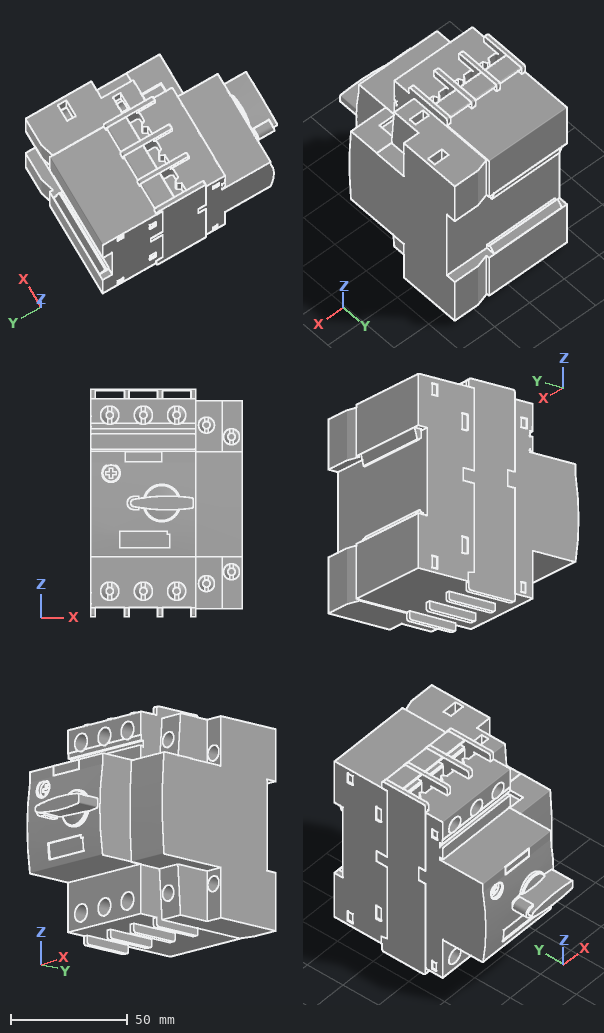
import cadquery as cq


HEIGHT = 97.4
DEPTH = 96.9
WIDTH = 65.0
EPS = 0.1

MAIN_WIDTH = 45.0
MAIN_BACK_Y = 96.6
SIDE_STEP = 0.1
BODY_TOP = 93.3
BODY_BOTTOM = 3.9
TERMINAL_FACE_Y = 35.8
COVER_TOP = 70.8
COVER_BOTTOM = 25.8
COVER_FLAT_Y = 13.2
COVER_CREST_Y = 11.6
COVER_FLAT_BOTTOM = 66.0
EDGE_ROUND = 0.5

GROOVE_DEPTH = 1.6
GROOVE_TOP = 80.55
LIP_TOP = 82.9
LIP_STEP = 0.2
STRIP_TOP = 78.4
STRIP_BOTTOM = 71.6
STRIP_CORNER = 0.7

RAIL_FLOOR_Y = 91.8
RAIL_TOP = 69.4
RAIL_BOTTOM = 29.1
HOOK_LEFT = 2.9
HOOK_WIDTH = 39.0

BARRIER_SPANS = [(0.0, 2.0), (14.4, 16.5), (28.5, 30.9), (43.0, MAIN_WIDTH)]
FRAME_BACK_Y = 69.8
FRAME_FRONT_Y = 45.4
FRAME_ROUND = 1.2
BRIDGE_FRONT_Y = 59.9
BRIDGE_THICKNESS = 0.8
BRIDGE_DROP = 0.1

POCKET_FRONT_Y = 53.6
POCKET_DEPTH = 11.7
POCKET_CORNER = 1.2
TONGUE_HALF_WIDTH = 1.6
TONGUE_LENGTH = 1.9
TONGUE_SLANT = 1.1
BACK_STEP_DROP = 1.1
BACK_STEP_DEPTH = 0.3

POLE_X = [8.2, 22.6, 36.8]
POLE_UPPER_Z = 86.3
POLE_LOWER_Z = 11.0
POLE_RADIUS = 3.9
POLE_FLOOR_Y = 49.5
AUX_RADIUS = 3.4
CONE_HEIGHT = 1.2
SCREW_CORE_RADIUS = 1.6
SCREW_SLOT_WIDTH = 1.7

SIDE_RECESS_DEPTH = 0.7
SIDE_RECESS_ROUND = 0.8

DIAL_X, DIAL_Z = 8.8, 61.5
DIAL_RADIUS = 3.5
DIAL_RIM = 0.4
DIAL_RIM_Y = 13.1
DIAL_FLOOR_Y = 14.6
CROSS_LENGTH = 4.4
CROSS_WIDTH = 1.4
CROSS_DEPTH = 0.8
LABEL_DEPTH = 0.7
PLATE_LEFT, PLATE_RIGHT = 14.8, 30.5
PLATE_BOTTOM = 66.3
PLATE_HEIGHT = 4.3
PLATE_DEPTH = 0.3

KNOB_X, KNOB_Z = 30.5, 48.7
KNOB_RADIUS = 8.0
KNOB_FACE_Y = 10.3
KNOB_CHAMFER = 0.5
DOME_RADIUS = 7.4
DOME_TOP_Y = 9.35
GRIP_LEFT, GRIP_RIGHT = 17.1, 43.9
GRIP_HALF = 2.9
GRIP_END_HALF = 2.1
GRIP_NECK_HALF = 1.6
GRIP_BACK_Y = 11.3
GRIP_END_ROUND = 0.8
PIN_X = 18.5
PIN_RIGHT = 20.6
PIN_RADIUS = 2.8
PIN_FRONT_Y, PIN_BACK_Y = 2.2, 9.9

AUX_TOP = 92.5
AUX_BOTTOM = 3.4
AUX_STEP_X = 56.4
AUX_NEAR_TOP_Y = 48.5
AUX_NEAR_ROOT_Y = 46.9
AUX_FAR_Y = 64.3
AUX_COVER_TOP = 70.7
AUX_COVER_BOTTOM = 25.6
AUX_COVER_EDGE_Y = 30.4
AUX_COVER_CREST_Y = 29.4
AUX_LEDGE_DROP = 0.2
AUX_POCKET_DEPTH = 2.6
AUX_CORNER_X = 51.5
AUX_CORNER_DROP = 1.9


def box(x0, x1, y0, y1, z0, z1):
    return cq.Workplane("XY").box(x1 - x0, y1 - y0, z1 - z0, centered=False).translate((x0, y0, z0))


def side_plane(x):
    """Sketch plane with local axes (Y, Z), extruding toward +X."""
    return cq.Workplane("YZ", origin=(x, 0, 0))


def front_plane(y):
    """Sketch plane with local axes (X, Z), extruding toward -Y."""
    return cq.Workplane(cq.Plane(origin=(0, y, 0), xDir=(1, 0, 0), normal=(0, -1, 0)))


def cylinder_y(x, z, radius, y0, y1):
    """Cylinder along Y from y0 to y1."""
    return front_plane(y0).center(x, z).circle(radius).extrude(y0 - y1)


def screw_well(x, z, radius, face_y, floor_y):
    return cylinder_y(x, z, radius, face_y - EPS, floor_y)


def screw_head(x, z, radius, floor_y):
    """Conical head standing on the well floor, slotted on both sides of its flat core."""
    tip_y = floor_y - CONE_HEIGHT
    cone = cq.Workplane(cq.Solid.makeCone(radius, SCREW_CORE_RADIUS, CONE_HEIGHT,
                                          pnt=cq.Vector(x, floor_y, z), dir=cq.Vector(0, -1, 0)))
    slot_half = SCREW_SLOT_WIDTH / 2
    slot = box(x - slot_half, x + slot_half, tip_y - EPS, floor_y, z - radius, z + radius)
    core = cylinder_y(x, z, SCREW_CORE_RADIUS, tip_y - EPS, floor_y)
    return cone.cut(slot.cut(core))


def round_long_edges(solid, mid_x, edge_points):
    """Round the edges that run along X through the given (Y, Z) points."""
    for y, z in edge_points:
        solid = solid.edges(cq.selectors.NearestToPointSelector((mid_x, y, z))).fillet(EDGE_ROUND)
    return solid


def rail_recess(x0, x1):
    return box(x0, x1, RAIL_FLOOR_Y, DEPTH + EPS, RAIL_BOTTOM, RAIL_TOP)


def main_body():
    groove_y = TERMINAL_FACE_Y + GROOVE_DEPTH
    crest_z = (COVER_FLAT_BOTTOM + COVER_BOTTOM) / 2
    body = (
        side_plane(SIDE_STEP)
        .moveTo(MAIN_BACK_Y, BODY_BOTTOM)
        .lineTo(MAIN_BACK_Y, BODY_TOP)
        .lineTo(TERMINAL_FACE_Y, BODY_TOP)
        .lineTo(TERMINAL_FACE_Y, LIP_TOP)
        .lineTo(TERMINAL_FACE_Y + LIP_STEP, LIP_TOP)
        .lineTo(TERMINAL_FACE_Y + LIP_STEP, GROOVE_TOP)
        .lineTo(groove_y, GROOVE_TOP)
        .lineTo(groove_y, COVER_TOP)
        .lineTo(COVER_FLAT_Y, COVER_TOP)
        .lineTo(COVER_FLAT_Y, COVER_FLAT_BOTTOM)
        .threePointArc((COVER_CREST_Y, crest_z), (COVER_FLAT_Y, COVER_BOTTOM))
        .lineTo(TERMINAL_FACE_Y, COVER_BOTTOM)
        .lineTo(TERMINAL_FACE_Y, BODY_BOTTOM)
        .close()
        .extrude(MAIN_WIDTH - SIDE_STEP)
    )
    long_edges = [(MAIN_BACK_Y, BODY_TOP), (TERMINAL_FACE_Y, BODY_TOP),
                 (COVER_FLAT_Y, COVER_TOP), (COVER_FLAT_Y, COVER_BOTTOM)]
    body = round_long_edges(body, MAIN_WIDTH / 2, long_edges)
    strip = (
        box(SIDE_STEP, MAIN_WIDTH, TERMINAL_FACE_Y, groove_y + EPS, STRIP_BOTTOM, STRIP_TOP)
        .edges("|Y").fillet(STRIP_CORNER)
    )
    return body.union(strip).cut(rail_recess(-EPS, MAIN_WIDTH + EPS))


def conductor_pockets():
    floor_z = BODY_TOP - POCKET_DEPTH
    pockets = []
    for (_, left), (right, _) in zip(BARRIER_SPANS, BARRIER_SPANS[1:]):
        pocket = (
            box(left, right, POCKET_FRONT_Y, BRIDGE_FRONT_Y, floor_z, BODY_TOP + EPS)
            .edges("|Z and <Y").fillet(POCKET_CORNER)
        )
        back_step = box(left, right, BRIDGE_FRONT_Y - BACK_STEP_DEPTH, BRIDGE_FRONT_Y,
                        floor_z, BODY_TOP - BACK_STEP_DROP)
        mid_x = (left + right) / 2
        tongue = (
            box(mid_x - TONGUE_HALF_WIDTH, mid_x + TONGUE_HALF_WIDTH,
                POCKET_FRONT_Y - TONGUE_LENGTH, POCKET_FRONT_Y + TONGUE_LENGTH, floor_z, BODY_TOP + EPS)
            .edges("|Z and >Y").chamfer(TONGUE_LENGTH, TONGUE_SLANT)
        )
        pockets.append(pocket.cut(back_step).cut(tongue))
    return pockets


def frame_profile(x0, x1):
    """Barrier outline, with its locking tab at the back and notch at the front."""
    back_y = 66.9
    tab_y, tab_low, tab_high = 72.9, 49.6, 55.4
    notch_y, notch_low, notch_high = 49.2, 52.4, 59.8
    foot_y = 70.2
    foot_low, foot_high = 8.0, 8.7
    return (
        side_plane(x0)
        .moveTo(FRAME_FRONT_Y, 0)
        .lineTo(FRAME_FRONT_Y, notch_low)
        .lineTo(notch_y, notch_low)
        .lineTo(notch_y, notch_high)
        .lineTo(FRAME_FRONT_Y, notch_high)
        .lineTo(FRAME_FRONT_Y, HEIGHT)
        .lineTo(FRAME_BACK_Y, HEIGHT)
        .lineTo(FRAME_BACK_Y, BODY_TOP)
        .lineTo(back_y, BODY_TOP)
        .lineTo(back_y, tab_high)
        .lineTo(tab_y, tab_high)
        .lineTo(tab_y, tab_low)
        .lineTo(back_y, tab_low)
        .lineTo(back_y, foot_high)
        .lineTo(foot_y, foot_low)
        .lineTo(foot_y, BODY_BOTTOM)
        .lineTo(FRAME_BACK_Y, BODY_BOTTOM)
        .lineTo(FRAME_BACK_Y, 0)
        .close()
        .extrude(x1 - x0)
        .edges("|X and (>Z or <Z)").fillet(FRAME_ROUND)
    )


def barrier_frame():
    frame = frame_profile(*BARRIER_SPANS[0])
    for x0, x1 in BARRIER_SPANS[1:]:
        frame = frame.union(frame_profile(x0, x1))
    bridge_zone = box(0, MAIN_WIDTH, BRIDGE_FRONT_Y, DEPTH, HEIGHT - BRIDGE_THICKNESS, HEIGHT)
    bridge = frame_profile(0, MAIN_WIDTH).translate((0, -BRIDGE_DROP, -BRIDGE_DROP)).intersect(bridge_zone)
    return frame.union(bridge)


def rail_hooks():
    tooth_front_y = 93.0
    ramp_top = 31.2
    upper_root = RAIL_TOP + EPS
    lower_root = RAIL_BOTTOM - EPS
    back_y = MAIN_BACK_Y - EPS
    front_y = RAIL_FLOOR_Y - EPS
    tooth = [(back_y, upper_root), (95.1, 64.3), (94.4, 64.2), (tooth_front_y, 65.4),
             (tooth_front_y, upper_root)]
    ramp = [(back_y, lower_root), (93.7, 32.2), (92.9, ramp_top), (front_y, ramp_top), (front_y, lower_root)]
    upper_hook = side_plane(HOOK_LEFT).polyline(tooth).close().extrude(HOOK_WIDTH)
    lower_hook = side_plane(HOOK_LEFT).polyline(ramp).close().extrude(HOOK_WIDTH)
    return upper_hook.union(lower_hook)


def side_recesses():
    """Shallow rectangular recesses in the left wall, as (y0, y1, z0, z1)."""
    square_recesses = [(86.2, 89.2, 85.3, 90.6), (86.2, 89.2, 5.9, 11.4),
                       (38.8, 42.0, 81.2, 85.8), (39.5, 42.0, 5.65, 10.2)]
    rounded_recesses = [(70.1, 73.2, 73.05, 80.55), (70.1, 73.2, 16.4, 24.0)]
    recess_right = SIDE_STEP + SIDE_RECESS_DEPTH
    cutters = [box(-EPS, recess_right, *span) for span in square_recesses]
    for span in rounded_recesses:
        cutters.append(box(-EPS, recess_right, *span).edges("|X and <Y").fillet(SIDE_RECESS_ROUND))
    return cutters


def dial_recess():
    hole = cylinder_y(DIAL_X, DIAL_Z, DIAL_RADIUS, 0, DIAL_FLOOR_Y)
    floor_y = DIAL_FLOOR_Y + CROSS_DEPTH
    cross = front_plane(floor_y).center(DIAL_X, DIAL_Z).rect(CROSS_LENGTH, CROSS_WIDTH).extrude(CROSS_DEPTH)
    cross = cross.union(
        front_plane(floor_y).center(DIAL_X, DIAL_Z).rect(CROSS_WIDTH, CROSS_LENGTH).extrude(CROSS_DEPTH))
    rim = cylinder_y(DIAL_X, DIAL_Z, DIAL_RADIUS + DIAL_RIM, 0, DIAL_RIM_Y)
    return hole.union(cross).union(rim)


def label_window(body):
    """Recess that keeps the curve of the cover: the body's own skin, LABEL_DEPTH thick."""
    left, right, low, high = 12.6, 33.9, 29.6, 36.7
    step_width, step_height = 1.2, 1.4
    column = (
        front_plane(TERMINAL_FACE_Y)
        .moveTo(left, low)
        .lineTo(right, low)
        .lineTo(right, high - step_height)
        .lineTo(right - step_width, high - step_height)
        .lineTo(right - step_width, high)
        .lineTo(left, high)
        .close()
        .extrude(TERMINAL_FACE_Y)
    )
    return column.cut(body.translate((0, LABEL_DEPTH, 0)))


def handle():
    knob = cylinder_y(KNOB_X, KNOB_Z, KNOB_RADIUS, KNOB_FACE_Y, COVER_FLAT_Y)
    knob = knob.faces("<Y").chamfer(KNOB_CHAMFER)
    rise = KNOB_FACE_Y - DOME_TOP_Y
    sphere_radius = (DOME_RADIUS ** 2 + rise ** 2) / (2 * rise)
    sphere = cq.Workplane("XY").sphere(sphere_radius).translate((KNOB_X, DOME_TOP_Y + sphere_radius, KNOB_Z))
    dome = cylinder_y(KNOB_X, KNOB_Z, DOME_RADIUS, 0, COVER_FLAT_Y).intersect(sphere)
    grip = (
        front_plane(GRIP_BACK_Y)
        .moveTo(GRIP_RIGHT, KNOB_Z - GRIP_END_HALF)
        .lineTo(GRIP_RIGHT, KNOB_Z + GRIP_END_HALF)
        .threePointArc((KNOB_X, KNOB_Z + GRIP_HALF), (PIN_X, KNOB_Z + GRIP_NECK_HALF))
        .threePointArc((GRIP_LEFT, KNOB_Z), (PIN_X, KNOB_Z - GRIP_NECK_HALF))
        .threePointArc((KNOB_X, KNOB_Z - GRIP_HALF), (GRIP_RIGHT, KNOB_Z - GRIP_END_HALF))
        .close()
        .extrude(GRIP_BACK_Y)
        .edges("|Y and >X").fillet(GRIP_END_ROUND)
    )
    pin = (
        front_plane(PIN_BACK_Y)
        .moveTo(PIN_RIGHT, KNOB_Z + PIN_RADIUS)
        .lineTo(PIN_X, KNOB_Z + PIN_RADIUS)
        .threePointArc((PIN_X - PIN_RADIUS, KNOB_Z), (PIN_X, KNOB_Z - PIN_RADIUS))
        .lineTo(PIN_RIGHT, KNOB_Z - PIN_RADIUS)
        .close()
        .extrude(PIN_BACK_Y - PIN_FRONT_Y)
    )
    return knob.union(dome).union(grip).union(pin)


def aux_block():
    mid_z = (AUX_COVER_TOP + AUX_COVER_BOTTOM) / 2
    near = (
        side_plane(MAIN_WIDTH)
        .moveTo(DEPTH, AUX_BOTTOM)
        .lineTo(DEPTH, AUX_TOP)
        .lineTo(AUX_NEAR_TOP_Y, AUX_TOP)
        .lineTo(AUX_NEAR_ROOT_Y, AUX_COVER_TOP)
        .lineTo(AUX_NEAR_ROOT_Y, AUX_COVER_BOTTOM)
        .lineTo(AUX_NEAR_TOP_Y, AUX_BOTTOM)
        .close()
        .extrude(AUX_STEP_X - MAIN_WIDTH)
    )
    near = round_long_edges(near, (MAIN_WIDTH + AUX_STEP_X) / 2, [(AUX_NEAR_TOP_Y, AUX_TOP)])
    far = box(AUX_STEP_X, WIDTH, AUX_FAR_Y, DEPTH, AUX_BOTTOM, AUX_TOP)
    cover = (
        side_plane(MAIN_WIDTH)
        .moveTo(AUX_FAR_Y, AUX_COVER_BOTTOM)
        .lineTo(AUX_FAR_Y, AUX_COVER_TOP - AUX_LEDGE_DROP)
        .lineTo(AUX_NEAR_ROOT_Y, AUX_COVER_TOP - AUX_LEDGE_DROP)
        .lineTo(AUX_NEAR_ROOT_Y, AUX_COVER_TOP)
        .lineTo(AUX_COVER_EDGE_Y, AUX_COVER_TOP)
        .threePointArc((AUX_COVER_CREST_Y, mid_z), (AUX_COVER_EDGE_Y, AUX_COVER_BOTTOM))
        .close()
        .extrude(WIDTH - MAIN_WIDTH)
    )
    cover_edges = [(AUX_COVER_EDGE_Y, AUX_COVER_TOP), (AUX_COVER_EDGE_Y, AUX_COVER_BOTTOM)]
    cover = round_long_edges(cover, (MAIN_WIDTH + WIDTH) / 2, cover_edges)
    rear_bevel = (
        cq.Workplane("XY")
        .polyline([(MAIN_WIDTH, DEPTH - AUX_CORNER_DROP), (AUX_CORNER_X, DEPTH), (MAIN_WIDTH, DEPTH)])
        .close().extrude(HEIGHT)
    )
    block = near.union(far).union(cover).cut(rear_bevel).cut(rail_recess(MAIN_WIDTH, WIDTH))

    pocket_right, pocket_front_y = 53.8, 36.2
    block = block.cut(box(MAIN_WIDTH, pocket_right, pocket_front_y, AUX_NEAR_ROOT_Y,
                          AUX_COVER_TOP - AUX_POCKET_DEPTH, AUX_COVER_TOP + EPS))
    near_left, near_right, near_window_y = 46.6, 54.3, 56.1
    far_left, far_right, far_window_y = 55.1, 63.1, 77.7
    near_floor_y, far_floor_y = 59.9, 82.0
    near_screw_x, far_screw_x = 49.6, 60.3
    near_screw_z = [82.0, 14.2]
    far_screw_z = [77.0, 19.3]
    block = block.cut(box(near_left, near_right, near_window_y, near_floor_y, near_screw_z[0], HEIGHT))
    block = block.cut(box(far_left, far_right, far_window_y, far_floor_y, far_screw_z[0], HEIGHT))

    for z in near_screw_z:
        block = block.cut(screw_well(near_screw_x, z, AUX_RADIUS, AUX_NEAR_ROOT_Y, near_floor_y))
        block = block.union(screw_head(near_screw_x, z, AUX_RADIUS, near_floor_y))
    for z in far_screw_z:
        block = block.cut(screw_well(far_screw_x, z, AUX_RADIUS, AUX_FAR_Y, far_floor_y))
        block = block.union(screw_head(far_screw_x, z, AUX_RADIUS, far_floor_y))
    return block


body = main_body()
body = body.cut(label_window(body)).cut(dial_recess())
for pocket in conductor_pockets():
    body = body.cut(pocket)
body = body.union(barrier_frame())
for recess in side_recesses():
    body = body.cut(recess)
for pole_x in POLE_X:
    for pole_z in (POLE_UPPER_Z, POLE_LOWER_Z):
        body = body.cut(screw_well(pole_x, pole_z, POLE_RADIUS, TERMINAL_FACE_Y, POLE_FLOOR_Y))
        body = body.union(screw_head(pole_x, pole_z, POLE_RADIUS, POLE_FLOOR_Y))
nameplate = box(PLATE_LEFT, PLATE_RIGHT, COVER_FLAT_Y - PLATE_DEPTH, COVER_FLAT_Y + EPS,
                PLATE_BOTTOM, PLATE_BOTTOM + PLATE_HEIGHT)
result = body.union(nameplate).union(rail_hooks()).union(handle()).union(aux_block())